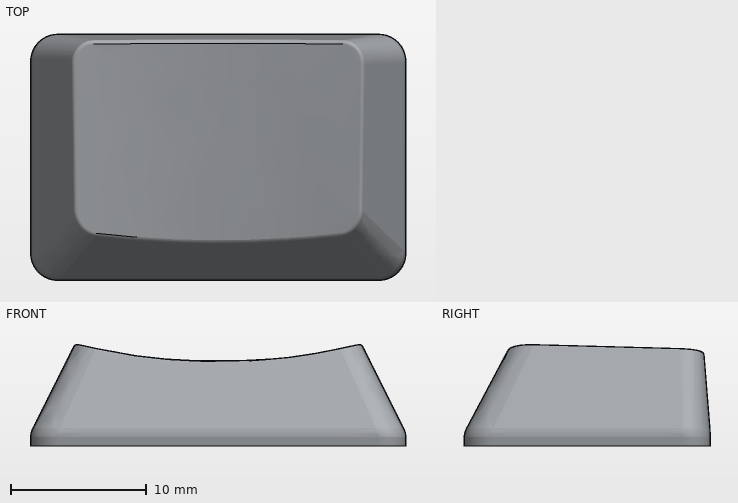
import cadquery as cq
import math

LENGTH = 27.7
WIDTH = 18.16
SKIRT_HEIGHT = 0.65
BLEND_TOP = 1.3
BLEND_MIDDLE = (SKIRT_HEIGHT + BLEND_TOP) / 2

SIDE_SLOPE = 0.5
FRONT_SLOPE = 0.53
BACK_SLOPE = 0.08
FOOT_CORNER_RADIUS = 2.02
TOP_CORNER_RADIUS = 1.65
BLANK_HEIGHT = 8.85

DISH_FRONT_RADIUS = 38.5
DISH_BACK_RADIUS = 66.45
DISH_FRONT_HEIGHT = 6.2
DISH_BACK_HEIGHT = 6.29
DISH_HALF_SPAN = 16.61
RIM_RADIUS = 0.28


def outline(height, inward_run, corner_radius):
    """Rounded rectangle drawn in from the foot by each wall's slope times inward_run."""
    front = -WIDTH / 2 + FRONT_SLOPE * inward_run
    back = WIDTH / 2 - BACK_SLOPE * inward_run
    length = LENGTH - 2 * SIDE_SLOPE * inward_run
    middle = (front + back) / 2
    profile = cq.Sketch().rect(length, back - front).vertices().fillet(corner_radius)
    return profile.moved(cq.Location(cq.Vector(0, middle, height)))


def make_blank():
    """Skirt, blend and sloped walls, stacked into one solid."""
    blend_rise = BLEND_TOP - SKIRT_HEIGHT
    foot = outline(0, 0, FOOT_CORNER_RADIUS)
    skirt_top = outline(SKIRT_HEIGHT, 0, FOOT_CORNER_RADIUS)
    blend_middle = outline(BLEND_MIDDLE, blend_rise / 8, FOOT_CORNER_RADIUS)
    blend_top = outline(BLEND_TOP, blend_rise / 2, FOOT_CORNER_RADIUS)
    blank_top = outline(BLANK_HEIGHT, BLANK_HEIGHT - BLEND_MIDDLE, TOP_CORNER_RADIUS)

    skirt = cq.Workplane().placeSketch(foot, skirt_top).loft(ruled=True)
    blend = cq.Workplane().placeSketch(skirt_top, blend_middle, blend_top).loft()
    walls = cq.Workplane().placeSketch(blend_top, blank_top).loft(ruled=True)
    return skirt.union(blend).union(walls)


def dish_section(y, radius, lowest):
    """Closed wire across the part at y, with a sagging arc for its lower side."""
    edge_height = lowest + radius - math.sqrt(radius**2 - DISH_HALF_SPAN**2)
    return (
        cq.Workplane("XZ", origin=(0, y, 0))
        .moveTo(-DISH_HALF_SPAN, edge_height)
        .threePointArc((0, lowest), (DISH_HALF_SPAN, edge_height))
        .lineTo(DISH_HALF_SPAN, 2 * BLANK_HEIGHT)
        .lineTo(-DISH_HALF_SPAN, 2 * BLANK_HEIGHT)
        .close()
        .val()
    )


def make_dish():
    """Trough that hollows the top, ruled between its front and back arcs."""
    front = dish_section(-WIDTH / 2, DISH_FRONT_RADIUS, DISH_FRONT_HEIGHT)
    back = dish_section(WIDTH / 2, DISH_BACK_RADIUS, DISH_BACK_HEIGHT)
    return cq.Workplane(cq.Solid.makeLoft([front, back], True))


dished = make_blank().cut(make_dish())
result = dished.faces(">Z").edges().fillet(RIM_RADIUS)